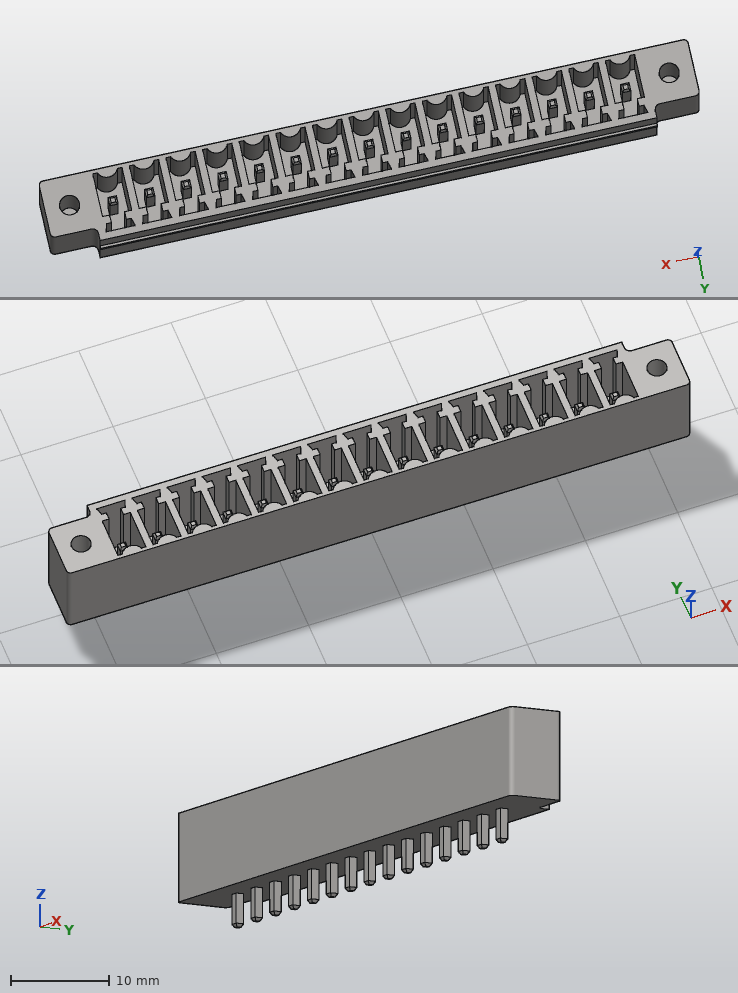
import cadquery as cq


length = 67.55
body_height = 9.2
flange_depth = 5.95
body_depth = 7.3
flange_length = 4.8
block_length = length - 2 * flange_length
corner_radius = 0.5
inner_corner_radius = 0.6

total_depth = 7.55
rib_projection = total_depth - body_depth
rib_height = 0.6
rib_center_z = 6.0

hole_diameter = 2.0
hole_depth = 6.75
hole_inset = 2.6

pin_count = 15
row_length = 53.35
pitch = row_length / (pin_count - 1)
row_y = 3.05

total_height = 12.6
pin_width = 0.9
pin_tip_width = 0.5
pin_tip_length = 0.35
pin_bottom = body_height - total_height
pin_top = 6.75

floor_thickness = 1.35
socket_width = 3.05
socket_front = 0.4
shoulder_y = 4.9
neck_width = 1.55
slot_front = 5.75
slot_front_width = 2.6
socket_back = 6.55
key_width = 2.1
key_height = 0.7


def make_housing():
    """Long socket block with a shallower screw flange at each end."""
    flanges = (
        cq.Workplane("XY")
        .box(length, flange_depth, body_height, centered=(True, False, False))
        .edges("|Z")
        .fillet(corner_radius)
    )
    block = cq.Workplane("XY").box(
        block_length, body_depth, body_height, centered=(True, False, False)
    )
    margin = 0.1
    inner_corners = cq.selectors.BoxSelector(
        (-block_length / 2 - margin, flange_depth - margin, 0),
        (block_length / 2 + margin, flange_depth + margin, body_height),
    )
    return flanges.union(block).edges("|Z").edges(inner_corners).fillet(inner_corner_radius)


def make_rib():
    """Square-edged rib along the back; its front half is sunk into the wall."""
    return cq.Workplane("XY", origin=(0, body_depth, rib_center_z)).box(
        block_length, 2 * rib_projection, rib_height
    )


def make_screw_hole(x):
    """Cutter for a blind hole drilled down from the top face."""
    return (
        cq.Workplane("XY", origin=(x, row_y, body_height))
        .circle(hole_diameter / 2)
        .extrude(-hole_depth)
    )


def make_socket(x):
    """Cutter for a socket open at the top, with a front key and a T-slot at the back."""
    half = socket_width / 2
    neck = neck_width / 2
    slot = slot_front_width / 2
    key = key_width / 2
    return (
        cq.Workplane("XY", origin=(x, 0, floor_thickness))
        .moveTo(-half, socket_front)
        .lineTo(-key, socket_front)
        .threePointArc((0, socket_front + key_height), (key, socket_front))
        .lineTo(half, socket_front)
        .lineTo(half, shoulder_y)
        .lineTo(neck, shoulder_y)
        .lineTo(neck, slot_front)
        .lineTo(slot, slot_front)
        .lineTo(half, socket_back)
        .lineTo(-half, socket_back)
        .lineTo(-slot, slot_front)
        .lineTo(-neck, slot_front)
        .lineTo(-neck, shoulder_y)
        .lineTo(-half, shoulder_y)
        .close()
        .extrude(body_height - floor_thickness)
    )


def make_pin(x):
    """Square pin through the socket floor, with a tapered tip at each end."""
    shank_length = pin_top - pin_bottom - 2 * pin_tip_length
    return (
        cq.Workplane("XY", origin=(x, row_y, pin_bottom))
        .rect(pin_tip_width, pin_tip_width)
        .workplane(offset=pin_tip_length)
        .rect(pin_width, pin_width)
        .workplane(offset=shank_length)
        .rect(pin_width, pin_width)
        .workplane(offset=pin_tip_length)
        .rect(pin_tip_width, pin_tip_width)
        .loft(ruled=True)
    )


result = make_housing().union(make_rib())

hole_x = length / 2 - hole_inset
for x in (-hole_x, hole_x):
    result = result.cut(make_screw_hole(x))

for index in range(pin_count):
    pin_x = index * pitch - row_length / 2
    result = result.cut(make_socket(pin_x)).union(make_pin(pin_x))